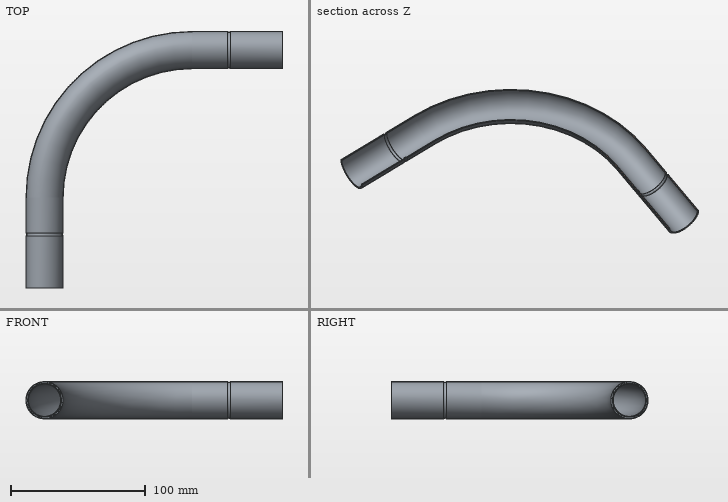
import cadquery as cq

overall_length = 190.5
outer_diameter = 27.6
inner_diameter = 25.1

leg_length = 67.0
groove_from_end = 38.7
groove_width = 2.3
groove_depth = 0.5

outer_radius = outer_diameter / 2
axis_reach = overall_length - outer_radius
bend_radius = axis_reach - leg_length

half = overall_length / 2
leg_axis_x = -half + outer_radius
leg_axis_y = half - outer_radius
minus_y_end = cq.Plane(origin=(leg_axis_x, -half, 0), xDir=(1, 0, 0), normal=(0, 1, 0))
plus_x_end = cq.Plane(origin=(half, leg_axis_y, 0), xDir=(0, 1, 0), normal=(-1, 0, 0))


def bent_rod(diameter):
    """Solid rod following both legs and the quarter bend between them."""
    bend_start = cq.Workplane(minus_y_end).workplane(offset=leg_length)
    rod = bend_start.circle(diameter / 2).revolve(90, (bend_radius, 0, 0), (bend_radius, 1, 0))
    for end in (minus_y_end, plus_x_end):
        rod = rod.union(cq.Workplane(end).circle(diameter / 2).extrude(leg_length))
    return rod


def crimp_ring(end, radius):
    """Ring around a leg with an arc profile that dips inward from the given radius."""
    near = groove_from_end
    middle = groove_from_end + groove_width / 2
    far = groove_from_end + groove_width
    profile_plane = cq.Plane(origin=end.origin, xDir=end.xDir, normal=end.xDir.cross(end.zDir))
    return (
        cq.Workplane(profile_plane)
        .moveTo(radius, near)
        .threePointArc((radius - groove_depth, middle), (radius, far))
        .close()
        .revolve(360, (0, 0), (0, 1))
    )


result = bent_rod(outer_diameter).cut(bent_rod(inner_diameter))

for tube_end in (minus_y_end, plus_x_end):
    result = result.cut(crimp_ring(tube_end, outer_radius))
    result = result.union(crimp_ring(tube_end, inner_diameter / 2))